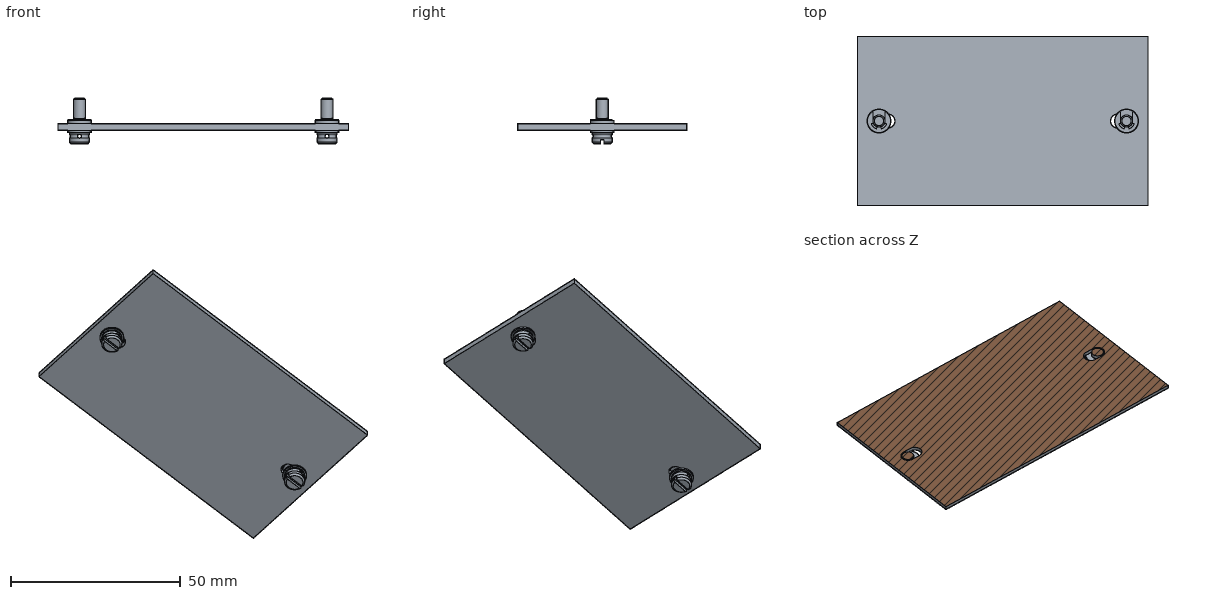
import math

import cadquery as cq

plate_length = 85.7
plate_width = 50.0
plate_thickness = 2.0

screw_offset = 36.5
slot_width = 4.0
slot_travel = 2.65

total_height = 13.5
head_bottom = -4.0
screw_top = head_bottom + total_height
shank_radius = 1.8
tip_chamfer = 0.4
neck_radius = 1.4
neck_top = 3.5
head_radius = 3.0
head_edge_chamfer = 0.56

head_groove_top = -1.1
head_groove_bottom = -2.3
head_groove_middle = (head_groove_top + head_groove_bottom) / 2
head_groove_depth = 0.25
cross_hole_diameter = 1.1
driver_slot_width = 1.0
driver_slot_depth = 1.2

washer_radius = 3.5
lower_washer_thickness = 0.6
upper_washer_thickness = 0.9
upper_washer_chamfer = 0.1
neck_bottom = plate_thickness + upper_washer_thickness

clip_radius = 3.4
clip_thickness = 0.25
clip_relief_radius = 2.4
clip_mouth_half_width = 1.7
clip_mouth_flare = 0.8
clip_flare_start = 2.5
back_lug_half_angle = 18
side_lug_start_angle = 70


def disc(radius, bottom, top):
    return cq.Workplane("XY").workplane(offset=bottom).circle(radius).extrude(top - bottom)


def polar(radius, angle):
    """Point at an angle in degrees measured from -Y toward +X."""
    turn = math.radians(angle)
    return radius * math.sin(turn), -radius * math.cos(turn)


def make_plate():
    plate = cq.Workplane("XY").rect(plate_length, plate_width).extrude(plate_thickness)
    for side in (-1, 1):
        slot = (
            cq.Workplane("XY")
            .center(side * (screw_offset - slot_travel / 2), 0)
            .slot2D(slot_travel + slot_width, slot_width)
            .extrude(plate_thickness)
        )
        plate = plate.cut(slot)
    return plate


def make_head():
    head = disc(head_radius, head_bottom, -lower_washer_thickness)
    head = head.faces("<Z").edges().chamfer(head_edge_chamfer)
    groove = (
        cq.Workplane("XZ")
        .moveTo(head_radius, head_groove_bottom)
        .threePointArc((head_radius - head_groove_depth, head_groove_middle), (head_radius, head_groove_top))
        .close()
        .revolve(360, (0, 0), (0, 1))
    )
    cross_hole = (
        cq.Workplane("XZ")
        .center(0, head_groove_middle)
        .circle(cross_hole_diameter / 2)
        .extrude(head_radius, both=True)
    )
    driver_slot = (
        cq.Workplane("XY")
        .workplane(offset=head_bottom)
        .rect(2 * head_radius, driver_slot_width)
        .extrude(driver_slot_depth)
    )
    return head.cut(groove).cut(cross_hole).cut(driver_slot)


def make_shank():
    lower_shank = disc(shank_radius, -lower_washer_thickness, neck_bottom)
    neck = disc(neck_radius, neck_bottom, neck_top)
    upper_shank = disc(shank_radius, neck_top, screw_top).faces(">Z").edges().chamfer(tip_chamfer)
    return lower_shank.union(neck).union(upper_shank)


def make_clip():
    clip_top = neck_bottom + clip_thickness
    clip = disc(clip_radius, neck_bottom, clip_top).cut(disc(neck_radius, neck_bottom, clip_top))
    base = cq.Workplane("XY").workplane(offset=neck_bottom)
    flare_half_width = clip_mouth_half_width + clip_mouth_flare
    mouth = base.polyline([
        (-clip_mouth_half_width, 0),
        (clip_mouth_half_width, 0),
        (clip_mouth_half_width, clip_flare_start),
        (flare_half_width, clip_radius),
        (-flare_half_width, clip_radius),
        (-clip_mouth_half_width, clip_flare_start),
    ]).close().extrude(clip_thickness)
    clip = clip.cut(mouth)
    middle_angle = (back_lug_half_angle + side_lug_start_angle) / 2
    for side in (-1, 1):
        relief = (
            base.moveTo(*polar(neck_radius, side * back_lug_half_angle))
            .lineTo(*polar(clip_relief_radius, side * back_lug_half_angle))
            .threePointArc(
                polar(clip_relief_radius, side * middle_angle),
                polar(clip_relief_radius, side * side_lug_start_angle),
            )
            .lineTo(*polar(neck_radius, side * side_lug_start_angle))
            .threePointArc(
                polar(neck_radius, side * middle_angle),
                polar(neck_radius, side * back_lug_half_angle),
            )
            .close()
            .extrude(clip_thickness)
        )
        clip = clip.cut(relief)
    return clip


def make_fastener():
    lower_washer = disc(washer_radius, -lower_washer_thickness, 0)
    upper_washer = disc(washer_radius, plate_thickness, neck_bottom)
    upper_washer = upper_washer.faces(">Z").edges().chamfer(upper_washer_chamfer)
    fastener = make_shank().union(make_head())
    return fastener.union(lower_washer).union(upper_washer).union(make_clip())


result = make_plate()
fastener = make_fastener()
for side in (-1, 1):
    result = result.union(fastener.translate((side * screw_offset, 0, 0)))